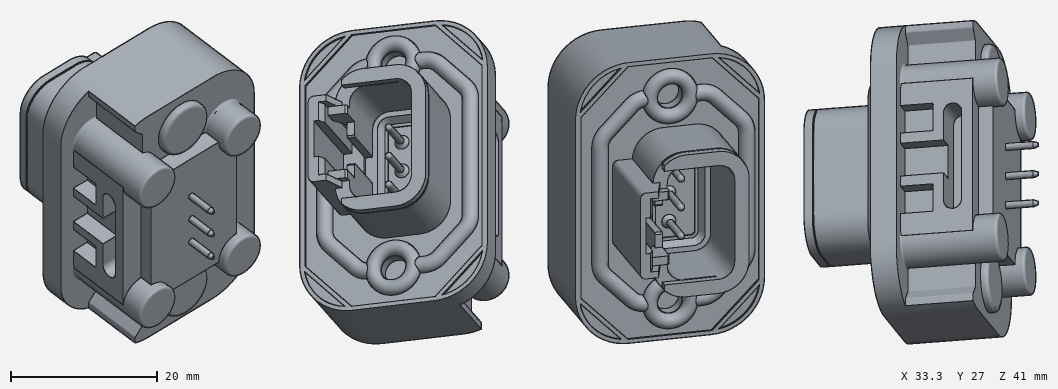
import cadquery as cq
import math


WIDTH = 26.95
HEIGHT = 41.0
CORNER_RADIUS = 7.6
FLANGE_BACK = 3.65
BODY_BACK = 13.15
BODY_CUT_Y = -8.35
BODY_SIDE_Y = -6.97
WALL_EDGE_Z = 19.07
WALL_EDGE_FILLET = 0.33
WALL_ROOT_Z = 17.65
WALL_ROOT_FILLET = 0.15

FACE_RECESS = 0.33
PANEL_WIDTH = 25.35
PANEL_HEIGHT = 39.85
PANEL_CHAMFER = 6.7
POCKET_RIM = 0.6
POCKET_GAP = 0.6

BEAD_RADIUS = 1.15
BEAD_CENTRE_X = 0.2
BEAD_Y_MAX = 9.93
BEAD_Y_MIN = -11.0
BEAD_SLANT = 5.3
BEAD_BEND_RADIUS = 2.87
EYELET_Z = 14.97
EYELET_HOLE_RADIUS = 3.65 / 2
EYELET_TUBE_RADIUS = 1.05
EYELET_RADIUS = EYELET_HOLE_RADIUS + EYELET_TUBE_RADIUS
EYELET_HOLE_FLOOR = 2.05
BOSS_RADIUS = 4.1
BOSS_BACK = 14.27
BOSS_FILLET = 0.57

SHELL_FRONT = -9.5
LIP_FRONT = -10.7
SHELL_Y_MAX = 5.3
SHELL_Y_MIN = -8.1
SHELL_HEIGHT = 20.7
SHELL_RADIUS = 4.4
SHELL_WALL = 2.05
LIP_END_Y = 3.98
GROOVE_WIDTH = 0.15
GROOVE_DEPTH = 0.15
CAVITY_Y_MAX = SHELL_Y_MAX - SHELL_WALL
CAVITY_Y_MIN = SHELL_Y_MIN + SHELL_WALL
CAVITY_HEIGHT = SHELL_HEIGHT - 2 * SHELL_WALL
CAVITY_RADIUS = SHELL_RADIUS - SHELL_WALL
CAVITY_FLOOR = 0.8

RECESS_Y_MAX = 2.55
RECESS_Y_MIN = -5.25
RECESS_HEIGHT = 15.1
RECESS_RADIUS = 1.65
RECESS_DEPTH = 1.25
RECESS_TAPER = 0.65
FLOOR_Y_MAX = 1.45
FLOOR_Y_MIN = -4.15
FLOOR_HEIGHT = 12.9
FLOOR_CHAMFER = 0.35
FLOOR_DEPTH = 0.2
CONTACT_FLOOR = CAVITY_FLOOR + RECESS_DEPTH + FLOOR_DEPTH

GUARD_FRONT = -12.9
GUARD_Y_MAX = 8.1
GUARD_Y_MIN = 4.3
GUARD_HEIGHT = 12.55
GUARD_FILLET = 0.8
GUARD_TIP_Y = 5.5
LATCH_HEIGHT = 10.65
LATCH_Y = 6.05
LATCH_TIP_Y = 6.6
LATCH_FLARE = 1.1
KEYWAY_HEIGHT = 5.25
KEYWAY_Y = 7.25

STOP_Z = 4.1
STOP_Y_MAX = 5.95
STOP_STRAIGHT = 2.1
STOP_TAPER = 2.35
STOP_CHAMFER = 0.25
STOP_OVERLAP = 0.4
TAB_FRONT = -7.25
TAB_Z = 1.93
TAB_CHAMFER = 0.25

SIDE_Y = -11.15
SIDE_BACK = 13.82
SIDE_HEIGHT = 21.82
WINDOW_Z = 5.8
WINDOW_HEIGHT = 3.95
WINDOW_BACK = 8.25
WINDOW_RADIUS = 0.25
CHANNEL_HEIGHT = 4.7
CHANNEL_DEPTH = 2.55
SLOT_FRONT = 9.72
SLOT_BACK = 12.22
SLOT_HEIGHT = 15.1
SLOT_DEPTH = 5.75

POST_RADIUS = 6.6 / 2
POST_Y = 7.85
POST_Z = 11.1
POST_BACK = 17.25
POST_COVE = 0.25
POST_FILLET = 0.4
BLOCK_BACK = 15.87
PIN_Y = -0.5
PIN_PITCH = 4.2
PIN_RADIUS = 1.0 / 2
PIN_BACK = 20.4
PIN_TIP = 0.6
PIN_TIP_CHAMFER = 0.25
CONTACT_FRONT = -4.1
COLLAR_RADIUS = 2.0 / 2
COLLAR_HEIGHT = 0.6


def at_x(x):
    """Sketch plane facing +X, with local axes along Y and Z."""
    return cq.Workplane("YZ", origin=(x, 0, 0))


def box(x0, x1, y0, y1, z0, z1):
    return cq.Workplane("XY").box(x1 - x0, y1 - y0, z1 - z0, centered=False).translate((x0, y0, z0))


def rounded_bar(x0, x1, y0, y1, height, radius):
    """Bar along X, centred on Z = 0, with rounded long edges."""
    return box(x0, x1, y0, y1, -height / 2, height / 2).edges("|X").fillet(radius)


def rod(x0, x1, y, z, radius):
    return at_x(x0).center(y, z).circle(radius).extrude(x1 - x0)


def mirrored_z(solid):
    return solid.union(solid.mirror("XY"))


def flange_bar(x0, x1, inset):
    half = WIDTH / 2 - inset
    return rounded_bar(x0, x1, -half, half, HEIGHT - 2 * inset, CORNER_RADIUS - inset)


def make_body():
    flange = flange_bar(0, FLANGE_BACK, 0)
    rear = flange_bar(FLANGE_BACK, BODY_BACK, 0)
    side_cut = (
        at_x(FLANGE_BACK)
        .moveTo(-WIDTH, HEIGHT)
        .lineTo(BODY_CUT_Y, HEIGHT)
        .lineTo(BODY_CUT_Y, WALL_EDGE_Z)
        .lineTo(BODY_SIDE_Y, WALL_ROOT_Z)
        .lineTo(BODY_SIDE_Y, -WALL_ROOT_Z)
        .lineTo(BODY_CUT_Y, -WALL_EDGE_Z)
        .lineTo(BODY_CUT_Y, -HEIGHT)
        .lineTo(-WIDTH, -HEIGHT)
        .close()
        .extrude(BODY_BACK - FLANGE_BACK)
    )
    rear = rear.cut(side_cut)
    middle_x = (FLANGE_BACK + BODY_BACK) / 2
    for side in (-1, 1):
        wall_edge = cq.NearestToPointSelector((middle_x, BODY_CUT_Y, side * WALL_EDGE_Z))
        rear = rear.edges(wall_edge).fillet(WALL_EDGE_FILLET)
        wall_root = cq.NearestToPointSelector((middle_x, BODY_SIDE_Y, side * WALL_ROOT_Z))
        rear = rear.edges(wall_root).fillet(WALL_ROOT_FILLET)
    return flange.union(rear)


def make_face_recesses():
    half_width = PANEL_WIDTH / 2
    half_height = PANEL_HEIGHT / 2
    panel = (
        box(0, FACE_RECESS, -half_width, half_width, -half_height, half_height)
        .edges("|X")
        .chamfer(PANEL_CHAMFER)
    )
    rim_width = WIDTH / 2 - POCKET_RIM
    rim_height = HEIGHT / 2 - POCKET_RIM
    panel_chamfer_sum = half_width + half_height - PANEL_CHAMFER
    web_chamfer = rim_width + rim_height - panel_chamfer_sum - POCKET_GAP * math.sqrt(2)
    web = (
        box(0, FACE_RECESS, -rim_width, rim_width, -rim_height, rim_height)
        .edges("|X")
        .chamfer(web_chamfer)
    )
    return panel.union(flange_bar(0, FACE_RECESS, POCKET_RIM).cut(web))


def make_half_bead(y_side, direction):
    """Half of the seal bead, running from one eyelet to the other along the side at y_side."""
    turn = math.radians(45)
    tangent = BEAD_BEND_RADIUS * math.tan(turn / 2)
    slant_run = tangent * math.cos(turn)
    arc_middle = BEAD_BEND_RADIUS * (1 - math.cos(turn / 2))
    arc_middle_run = BEAD_BEND_RADIUS * math.sin(turn / 2)
    y_top = y_side - direction * BEAD_SLANT
    z_side = EYELET_Z - BEAD_SLANT
    y_bend = y_top - direction * tangent
    z_bend = z_side - tangent

    path = at_x(BEAD_CENTRE_X).moveTo(direction * EYELET_RADIUS, EYELET_Z)
    path = path.lineTo(y_bend, EYELET_Z)
    path = path.threePointArc(
        (y_bend + direction * arc_middle_run, EYELET_Z - arc_middle),
        (y_top + direction * slant_run, EYELET_Z - slant_run),
    )
    path = path.lineTo(y_side - direction * slant_run, z_side + slant_run)
    path = path.threePointArc(
        (y_side - direction * arc_middle, z_bend + arc_middle_run),
        (y_side, z_bend),
    )
    path = path.lineTo(y_side, 0)
    start = (BEAD_CENTRE_X, direction * EYELET_RADIUS, EYELET_Z)
    bead = cq.Workplane("XZ", origin=start).circle(BEAD_RADIUS).sweep(path)
    return mirrored_z(bead)


def make_eyelet(z):
    ring = cq.Solid.makeTorus(
        EYELET_RADIUS, EYELET_TUBE_RADIUS, cq.Vector(0, 0, z), cq.Vector(1, 0, 0)
    )
    boss = rod(FLANGE_BACK, BOSS_BACK, 0, z, BOSS_RADIUS).faces(">X").edges().fillet(BOSS_FILLET)
    return boss.union(cq.Workplane(ring))


def make_eyelet_hole(z):
    """Blind bore behind the ring."""
    return rod(FACE_RECESS, EYELET_HOLE_FLOOR, 0, z, EYELET_HOLE_RADIUS)


def make_shell():
    shell = rounded_bar(SHELL_FRONT, FLANGE_BACK, SHELL_Y_MIN, SHELL_Y_MAX, SHELL_HEIGHT, SHELL_RADIUS)
    lip = rounded_bar(LIP_FRONT, SHELL_FRONT, SHELL_Y_MIN, SHELL_Y_MAX, SHELL_HEIGHT, SHELL_RADIUS)
    lip = lip.intersect(box(LIP_FRONT, SHELL_FRONT, SHELL_Y_MIN, LIP_END_Y, -HEIGHT, HEIGHT))
    half = CAVITY_HEIGHT / 2
    lip = lip.cut(box(LIP_FRONT, SHELL_FRONT, 0, SHELL_Y_MAX, -half, half))
    core = rounded_bar(
        SHELL_FRONT, SHELL_FRONT + GROOVE_WIDTH,
        SHELL_Y_MIN + GROOVE_DEPTH, SHELL_Y_MAX - GROOVE_DEPTH,
        SHELL_HEIGHT - 2 * GROOVE_DEPTH, SHELL_RADIUS - GROOVE_DEPTH,
    )
    slab = box(SHELL_FRONT, SHELL_FRONT + GROOVE_WIDTH, -WIDTH, LIP_END_Y, -HEIGHT, HEIGHT)
    return shell.cut(slab.cut(core)).union(lip)


def make_cavity():
    cavity = rounded_bar(
        LIP_FRONT, CAVITY_FLOOR, CAVITY_Y_MIN, CAVITY_Y_MAX, CAVITY_HEIGHT, CAVITY_RADIUS
    )
    groove_half = CAVITY_HEIGHT / 2 + GROOVE_DEPTH
    inner_groove = box(
        SHELL_FRONT, SHELL_FRONT + GROOVE_WIDTH,
        CAVITY_Y_MIN + CAVITY_RADIUS, CAVITY_Y_MAX - CAVITY_RADIUS,
        -groove_half, groove_half,
    )
    tab_gap = box(SHELL_FRONT, CAVITY_FLOOR, 0, GUARD_Y_MIN, -TAB_Z, TAB_Z)
    return cavity.union(inner_groove).union(tab_gap)


def make_contact_recess():
    width = RECESS_Y_MAX - RECESS_Y_MIN
    recess = (
        at_x(CAVITY_FLOOR)
        .center((RECESS_Y_MAX + RECESS_Y_MIN) / 2, 0)
        .sketch()
        .rect(width, RECESS_HEIGHT)
        .vertices()
        .fillet(RECESS_RADIUS)
        .finalize()
        .extrude(RECESS_DEPTH, taper=math.degrees(math.atan(RECESS_TAPER / RECESS_DEPTH)))
    )
    half = FLOOR_HEIGHT / 2
    floor = box(CAVITY_FLOOR + RECESS_DEPTH, CONTACT_FLOOR, FLOOR_Y_MIN, FLOOR_Y_MAX, -half, half)
    return recess.union(floor.edges("|X").chamfer(FLOOR_CHAMFER))


def make_guard():
    half = GUARD_HEIGHT / 2
    profile = (
        cq.Workplane("XY", origin=(0, 0, -half))
        .moveTo(GUARD_FRONT, GUARD_Y_MAX)
        .lineTo(GUARD_FRONT, GUARD_TIP_Y)
        .lineTo(SHELL_FRONT, GUARD_Y_MIN)
        .lineTo(FACE_RECESS, GUARD_Y_MIN)
        .lineTo(FACE_RECESS, GUARD_Y_MAX)
        .close()
        .extrude(GUARD_HEIGHT)
    )
    return profile.faces(">Y").edges("|X").fillet(GUARD_FILLET)


def make_latch_space():
    wide = (
        cq.Workplane("XY", origin=(0, 0, -LATCH_HEIGHT / 2))
        .moveTo(GUARD_FRONT, 0)
        .lineTo(GUARD_FRONT, LATCH_TIP_Y)
        .lineTo(GUARD_FRONT + LATCH_FLARE, LATCH_Y)
        .lineTo(FACE_RECESS, LATCH_Y)
        .lineTo(FACE_RECESS, 0)
        .close()
        .extrude(LATCH_HEIGHT)
    )
    keyway = box(GUARD_FRONT, FACE_RECESS, 0, KEYWAY_Y, -KEYWAY_HEIGHT / 2, KEYWAY_HEIGHT / 2)
    return wide.union(keyway)


def make_stops():
    """Tapered stop and longer tab on both sides of the latch opening."""
    root_y = CAVITY_Y_MAX - STOP_OVERLAP
    wall_z = LATCH_HEIGHT / 2
    taper_start = LIP_FRONT + STOP_STRAIGHT
    stop = (
        cq.Workplane("XY", origin=(0, 0, STOP_Z))
        .moveTo(LIP_FRONT, STOP_Y_MAX)
        .lineTo(LIP_FRONT, CAVITY_Y_MAX + STOP_CHAMFER)
        .lineTo(LIP_FRONT + STOP_CHAMFER, CAVITY_Y_MAX)
        .lineTo(LIP_FRONT + STOP_CHAMFER, root_y)
        .lineTo(FACE_RECESS, root_y)
        .lineTo(FACE_RECESS, GUARD_Y_MIN)
        .lineTo(taper_start + STOP_TAPER, GUARD_Y_MIN)
        .lineTo(taper_start, STOP_Y_MAX)
        .close()
        .extrude(wall_z - STOP_Z)
    )
    tab = box(TAB_FRONT, FACE_RECESS, root_y, GUARD_Y_MIN, TAB_Z, wall_z)
    tab = tab.faces("<X").edges("<Z").chamfer(TAB_CHAMFER)
    return mirrored_z(stop.union(tab))


def make_side_block():
    half = SIDE_HEIGHT / 2
    block = box(FLANGE_BACK, SIDE_BACK, SIDE_Y, 0, -half, half)
    channel_y = SIDE_Y + CHANNEL_DEPTH
    window = box(
        FLANGE_BACK, WINDOW_BACK, SIDE_Y, channel_y,
        WINDOW_Z - WINDOW_HEIGHT / 2, WINDOW_Z + WINDOW_HEIGHT / 2,
    )
    window = window.faces(">X").edges("|Y").fillet(WINDOW_RADIUS)
    slot_width = SLOT_BACK - SLOT_FRONT
    slot_x = (SLOT_FRONT + SLOT_BACK) / 2
    slot = (
        cq.Workplane("XZ", origin=(slot_x, SIDE_Y, 0))
        .slot2D(SLOT_HEIGHT, slot_width, 90)
        .extrude(-SLOT_DEPTH)
    )
    channel = box(FLANGE_BACK, slot_x, SIDE_Y, channel_y, -CHANNEL_HEIGHT / 2, CHANNEL_HEIGHT / 2)
    return block, mirrored_z(window).union(slot).union(channel)


def make_cove(foot_x, y, z):
    """Collar with a concave outside that blends a post into the face at foot_x."""
    outer_radius = POST_RADIUS + POST_COVE
    hollow = cq.Solid.makeTorus(
        outer_radius, POST_COVE, cq.Vector(foot_x + POST_COVE, y, z), cq.Vector(1, 0, 0)
    )
    return rod(foot_x, foot_x + POST_COVE, y, z, outer_radius).cut(cq.Workplane(hollow))


def make_posts():
    block = box(FLANGE_BACK, BLOCK_BACK, -POST_Y, POST_Y, -POST_Z, POST_Z)
    for y, foot_x in ((-POST_Y, FLANGE_BACK), (POST_Y, BODY_BACK)):
        for z in (-POST_Z, POST_Z):
            post = rod(FLANGE_BACK, POST_BACK, y, z, POST_RADIUS)
            post = post.faces(">X").edges().fillet(POST_FILLET)
            block = block.union(post.union(make_cove(foot_x, y, z)))
    return block


def make_pin(z):
    dome_x = CONTACT_FRONT + PIN_RADIUS
    pin = rod(dome_x, PIN_BACK, PIN_Y, z, PIN_RADIUS)
    pin = pin.faces(">X").edges().chamfer(PIN_TIP, PIN_TIP_CHAMFER)
    dome = cq.Workplane("XY").sphere(PIN_RADIUS).translate((dome_x, PIN_Y, z))
    collar = cq.Solid.makeCone(
        COLLAR_RADIUS, PIN_RADIUS, COLLAR_HEIGHT, cq.Vector(CONTACT_FLOOR, PIN_Y, z), cq.Vector(-1, 0, 0)
    )
    return pin.union(dome).union(cq.Workplane(collar))


side_block, side_openings = make_side_block()

result = make_body().cut(make_face_recesses())
result = result.union(make_posts()).union(side_block).cut(side_openings)
result = result.union(make_half_bead(BEAD_Y_MAX, 1)).union(make_half_bead(BEAD_Y_MIN, -1))
for eyelet_z in (-EYELET_Z, EYELET_Z):
    result = result.union(make_eyelet(eyelet_z)).cut(make_eyelet_hole(eyelet_z))

result = result.union(make_shell()).union(make_guard())
result = result.cut(make_latch_space()).union(make_stops())
result = result.cut(make_cavity()).cut(make_contact_recess())
for pin_z in (-PIN_PITCH, 0, PIN_PITCH):
    result = result.union(make_pin(pin_z))